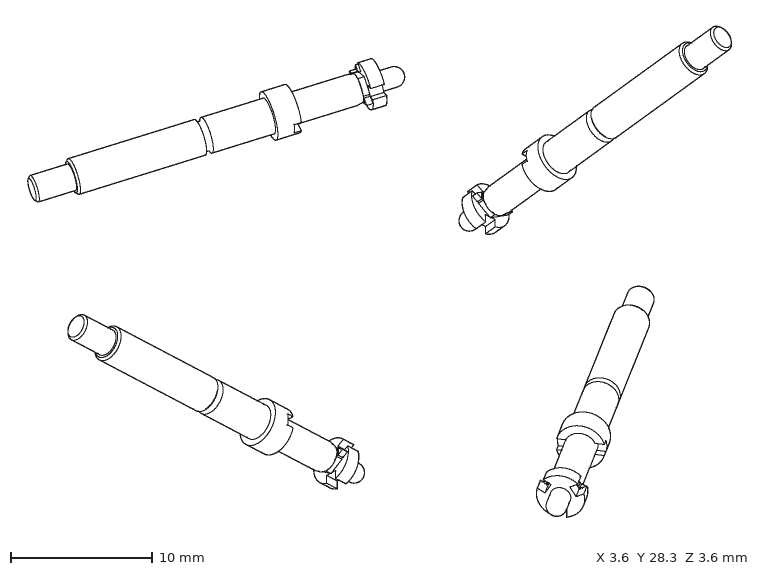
import cadquery as cq
import math

total_length = 28.3

head_start = 1.98
head_end = 3.03
key_end = 3.5
neck_end = 3.93
collar_start = 8.5
collar_end = 10.3
groove_center = 15.28
body_end = 25.3

pin_radius = 1.5 / 2
head_radius = 1.75
neck_radius = 1.08
barrel_radius = 1.15
collar_radius = 3.6 / 2
body_radius = 1.33
tail_radius = 1.0

groove_depth = 0.23
groove_half_width = 0.25
end_chamfer = 0.17

notch_count = 3
notch_width = 0.88
notch_floor_distance = 1.05
first_notch_angle = 30.0

key_half_width = 1.67
key_half_height = 1.1
key_gap_outer_radius = 1.25

slot_width = 0.93
slot_depth = 0.55


def along_y(station):
    """Y coordinate of a station measured from the tip."""
    return total_length / 2 - station


def section_plane(station):
    """Sketch plane across the axis, local X along +X, local Y along +Z, extruding toward the tail."""
    return cq.Workplane(cq.Plane((0, along_y(station), 0), xDir=(1, 0, 0), normal=(0, -1, 0)))


def turned_profile():
    """Solid of revolution holding every stepped diameter except the rhombic key."""
    hemisphere_middle = pin_radius * math.sin(math.radians(45))
    groove_start = along_y(groove_center - groove_half_width)
    groove_end = along_y(groove_center + groove_half_width)
    return (
        cq.Workplane("XY")
        .moveTo(0, along_y(0))
        .threePointArc(
            (hemisphere_middle, along_y(pin_radius - hemisphere_middle)),
            (pin_radius, along_y(pin_radius)),
        )
        .lineTo(pin_radius, along_y(head_start))
        .lineTo(head_radius, along_y(head_start))
        .lineTo(head_radius, along_y(head_end))
        .lineTo(pin_radius, along_y(head_end))
        .lineTo(pin_radius, along_y(key_end))
        .lineTo(neck_radius, along_y(key_end))
        .lineTo(barrel_radius, along_y(neck_end))
        .lineTo(barrel_radius, along_y(collar_start))
        .lineTo(collar_radius, along_y(collar_start))
        .lineTo(collar_radius, along_y(collar_end))
        .lineTo(body_radius, along_y(collar_end))
        .lineTo(body_radius, groove_start)
        .threePointArc((body_radius - groove_depth, along_y(groove_center)), (body_radius, groove_end))
        .lineTo(body_radius, along_y(body_end - end_chamfer))
        .lineTo(body_radius - end_chamfer, along_y(body_end))
        .lineTo(tail_radius, along_y(body_end))
        .lineTo(tail_radius, along_y(total_length - end_chamfer))
        .lineTo(tail_radius - end_chamfer, along_y(total_length))
        .lineTo(0, along_y(total_length))
        .close()
        .revolve(360, (0, 0, 0), (0, 1, 0))
    )


def head_notches():
    """Flat-floored cuts through the head, open to its rim."""
    head_thickness = head_end - head_start
    notch = (
        section_plane(head_start)
        .center(notch_floor_distance + head_radius / 2, 0)
        .rect(head_radius, notch_width)
        .extrude(head_thickness)
    )
    cuts = cq.Workplane("XY")
    for index in range(notch_count):
        angle = first_notch_angle + index * 360 / notch_count
        cuts = cuts.add(notch.rotate((0, 0, 0), (0, -1, 0), angle))
    return cuts.combine()


def rhombic_key():
    """Rhombic block with a ring-shaped gap that parts its core from two pointed lugs."""
    key_length = key_end - head_end
    rhombus = (
        section_plane(head_end)
        .polyline([
            (key_half_width, 0),
            (0, key_half_height),
            (-key_half_width, 0),
            (0, -key_half_height),
        ])
        .close()
        .extrude(key_length)
    )
    ring_gap = (
        section_plane(head_end)
        .circle(key_gap_outer_radius)
        .circle(barrel_radius)
        .extrude(key_length)
    )
    return rhombus.cut(ring_gap)


def collar_slot():
    """Slot across the collar along X, leaving the barrel whole."""
    slot = section_plane(collar_start).rect(2 * collar_radius, slot_width).extrude(slot_depth)
    barrel = section_plane(collar_start).circle(barrel_radius).extrude(slot_depth)
    return slot.cut(barrel)


result = turned_profile().cut(head_notches()).union(rhombic_key()).cut(collar_slot())